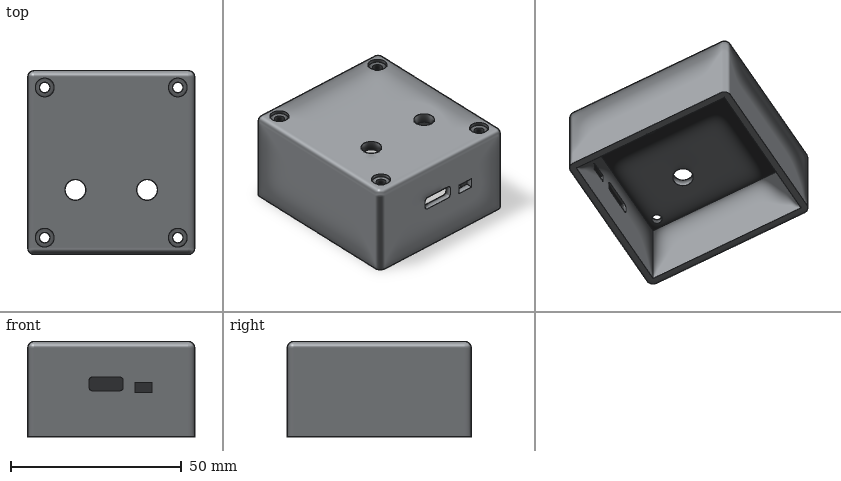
import cadquery as cq

length_x = 49.0
width_y = 54.0
height = 28.0
edge_radius = 2.0
wall = 2.0
lid = 3.0

screw_inset = 5.0
screw_diameter = 3.0
head_diameter = 5.5
head_depth = 1.0

opening_diameter = 6.0
opening_spacing = 21.0
opening_y = -8.0

connector_width = 10.0
connector_height = 4.0
connector_radius = 1.0
connector_x = -1.5
connector_z = 15.5

switch_width = 5.0
switch_height = 3.0
switch_x = 9.5
switch_z = 14.5

cavity_x = length_x - 2 * wall
cavity_y = width_y - 2 * wall
cavity_height = height - lid
screw_x = length_x / 2 - screw_inset
screw_y = width_y / 2 - screw_inset
screw_points = [(sx * screw_x, sy * screw_y) for sx in (-1, 1) for sy in (-1, 1)]


def upright_box(size_x, size_y, size_z):
    """Box centred on the Z axis and standing on the base plane."""
    return cq.Workplane("XY").box(size_x, size_y, size_z, centered=(True, True, False))


def hollow_shell():
    """Rounded outer body minus the cavity, which is open at the bottom."""
    outer = upright_box(length_x, width_y, height)
    outer = outer.edges("|Z").fillet(edge_radius)
    outer = outer.faces(">Z").edges().fillet(edge_radius)
    cavity = upright_box(cavity_x, cavity_y, cavity_height)
    return outer.cut(cavity)


def screw_holes():
    """Counterbored holes through the four corners of the lid."""
    shanks = (
        cq.Workplane("XY", origin=(0, 0, cavity_height))
        .pushPoints(screw_points)
        .circle(screw_diameter / 2)
        .extrude(lid)
    )
    heads = (
        cq.Workplane("XY", origin=(0, 0, height))
        .pushPoints(screw_points)
        .circle(head_diameter / 2)
        .extrude(-head_depth)
    )
    return shanks.union(heads)


def lid_openings():
    """Two round openings through the lid, side by side along X."""
    return (
        cq.Workplane("XY", origin=(0, opening_y, cavity_height))
        .pushPoints([(-opening_spacing / 2, 0), (opening_spacing / 2, 0)])
        .circle(opening_diameter / 2)
        .extrude(lid)
    )


def front_window(x, z, size_x, size_z):
    """Rectangular cutter through the front wall, centred at (x, z)."""
    wall_centre_y = (wall - width_y) / 2
    return cq.Workplane("XY").box(size_x, wall, size_z).translate((x, wall_centre_y, z))


connector_slot = front_window(connector_x, connector_z, connector_width, connector_height)
connector_slot = connector_slot.edges("|Y").fillet(connector_radius)
switch_window = front_window(switch_x, switch_z, switch_width, switch_height)

result = (
    hollow_shell()
    .cut(screw_holes())
    .cut(lid_openings())
    .cut(connector_slot)
    .cut(switch_window)
)